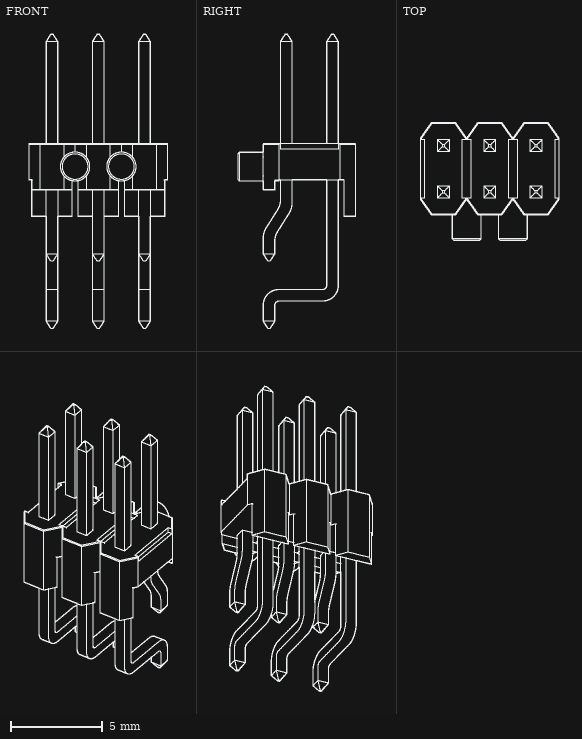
import cadquery as cq
import math


columns = 3
housing_length = 7.63
pitch = housing_length / columns
row_spacing = pitch

housing_depth = 2 * row_spacing
housing_height = 2.0
corner_x = 0.61
corner_y = 0.87
front_foot_height = 0.57
rear_wall_height = 2.0
foot_thickness = 0.65
groove_width = 0.48
groove_depth = 0.3
edge_bevel = 0.05

peg_diameter = 1.6
peg_length = 1.39
peg_chamfer = 0.1
peg_center_z = -pitch / 2

pin_size = 0.65
tip_length = 0.4
tip_flat = 0.13
pin_height = 16.16
pin_top = 6.0
rear_pin_bottom = pin_top - pin_height
front_pin_bottom = -6.46

rear_inner_radius = 0.23
rear_outer_radius = rear_inner_radius + pin_size
rear_run_top = -8.02
front_bend_radius = 1.0
front_bend_start = -3.4
front_bend_end = -4.9

front_face = -housing_depth / 2
straight_depth = housing_depth - 2 * corner_y
groove_length = row_spacing + pin_size
column_centers = [(i - (columns - 1) / 2) * pitch for i in range(columns)]
joint_centers = [(i - (columns - 2) / 2) * pitch for i in range(columns - 1)]
joints_and_ends = [-housing_length / 2] + joint_centers + [housing_length / 2]


def box_between(x_size, y_range, z_range, x_center=0):
    """Box centred on x_center that spans the given Y and Z ranges."""
    y_low, y_high = y_range
    z_low, z_high = z_range
    return (
        cq.Workplane("XY")
        .box(x_size, y_high - y_low, z_high - z_low)
        .translate((x_center, (y_low + y_high) / 2, (z_low + z_high) / 2))
    )


def housing_cell(x_center, height, bevel_faces=">Z"):
    """Octagonal prism of one column, hanging down from the top face.

    The rims of the chosen end faces are beveled, except where the cells join side by side.
    """
    half_x = pitch / 2
    half_y = housing_depth / 2
    outline = [
        (half_x, half_y - corner_y),
        (half_x - corner_x, half_y),
        (corner_x - half_x, half_y),
        (-half_x, half_y - corner_y),
        (-half_x, corner_y - half_y),
        (corner_x - half_x, -half_y),
        (half_x - corner_x, -half_y),
        (half_x, corner_y - half_y),
    ]
    cell = cq.Workplane("XY").polyline(outline).close().extrude(-height)
    cell = cell.faces(bevel_faces).edges("not |Y").chamfer(edge_bevel)
    return cell.translate((x_center, 0, 0))


def make_housing():
    """Row of cells with a short front foot and a taller rear wall under each one."""
    front_height = housing_height + front_foot_height
    rear_height = housing_height + rear_wall_height
    front_zone = box_between(housing_length, (front_face, front_face + foot_thickness), (-front_height, 0))
    rear_zone = box_between(housing_length, (-front_face - foot_thickness, -front_face), (-rear_height, 0))
    housing = cq.Workplane("XY")
    for x in column_centers:
        front_foot = housing_cell(x, front_height, "|Z").intersect(front_zone)
        rear_wall = housing_cell(x, rear_height).intersect(rear_zone)
        housing = housing.add(housing_cell(x, housing_height).union(front_foot).union(rear_wall))
    housing = housing.combine()
    for x in joints_and_ends:
        groove = box_between(groove_width, (-groove_length / 2, groove_length / 2), (-groove_depth, 0), x)
        housing = housing.cut(groove)
    return housing


def make_peg(x_center):
    """Round peg that grows forward from the bottom of the notch between two cells."""
    root_y = -straight_depth / 2
    return (
        cq.Workplane("XZ", origin=(x_center, root_y, peg_center_z))
        .circle(peg_diameter / 2)
        .extrude(corner_y + peg_length)
        .faces("<Y")
        .chamfer(peg_chamfer)
    )


def pin_tip(y_center, z_base, direction):
    """Blunt pyramid at a pin end, pointing up (+1) or down (-1)."""
    return (
        cq.Workplane("XY", origin=(0, y_center, z_base))
        .rect(pin_size, pin_size)
        .workplane(offset=direction * tip_length)
        .rect(tip_flat, tip_flat)
        .loft(ruled=True)
    )


def make_pin(row_y, tail_bottom, bends):
    """Pin whose front and rear edges turn at the bends.

    Each bend is (front corner, front radius, rear corner, rear radius), listed from the top down.
    The tail ends flush with the front face of the housing.
    """
    half = pin_size / 2
    tail_y = front_face + half
    shank_top = pin_top - tip_length
    shank_bottom = tail_bottom + tip_length
    front_corners = [bend[0] for bend in bends]
    rear_corners = [bend[2] for bend in bends]
    outline = (
        [(row_y - half, shank_top)]
        + front_corners
        + [(tail_y - half, shank_bottom), (tail_y + half, shank_bottom)]
        + rear_corners[::-1]
        + [(row_y + half, shank_top)]
    )
    pin = cq.Workplane("YZ").polyline(outline).close().extrude(half, both=True)
    for front_corner, front_radius, rear_corner, rear_radius in bends:
        for (y, z), radius in ((front_corner, front_radius), (rear_corner, rear_radius)):
            pin = pin.edges(cq.selectors.NearestToPointSelector((0, y, z))).fillet(radius)
    return pin.union(pin_tip(row_y, shank_top, 1)).union(pin_tip(tail_y, shank_bottom, -1))


def make_rear_pin():
    """Long pin with two square bends that bring its tail to the front face."""
    row_y = row_spacing / 2
    half = pin_size / 2
    run_bottom = rear_run_top - pin_size
    upper_bend = (
        (row_y - half, rear_run_top), rear_inner_radius,
        (row_y + half, run_bottom), rear_outer_radius,
    )
    lower_bend = (
        (front_face, rear_run_top), rear_outer_radius,
        (front_face + pin_size, run_bottom), rear_inner_radius,
    )
    return make_pin(row_y, rear_pin_bottom, [upper_bend, lower_bend])


def make_front_pin():
    """Short pin with a slanted jog of constant thickness."""
    row_y = -row_spacing / 2
    shank_front = row_y - pin_size / 2
    slant = math.atan2(shank_front - front_face, front_bend_start - front_bend_end)
    miter_drop = pin_size * math.tan(slant / 2)
    bends = [
        ((y, z), front_bend_radius, (y + pin_size, z - miter_drop), front_bend_radius)
        for y, z in ((shank_front, front_bend_start), (front_face, front_bend_end))
    ]
    return make_pin(row_y, front_pin_bottom, bends)


result = make_housing()
for x in joint_centers:
    result = result.union(make_peg(x))
for pin in (make_rear_pin(), make_front_pin()):
    for x in column_centers:
        result = result.union(pin.translate((x, 0, 0)))